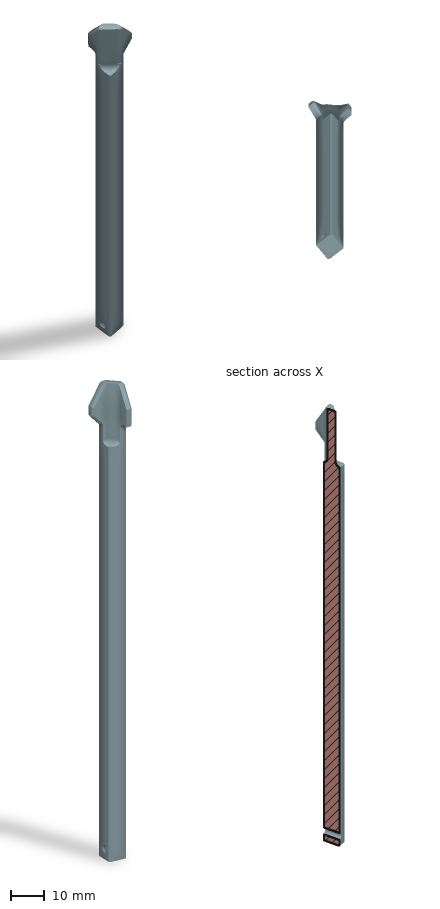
import cadquery as cq
import math

length = 152.4
bar = 5.8
bar_bevel = 0.5
hole_diameter = 2.3
hole_x = 2.7
hole_z = 3.4

sheet = 2.1
bend_inner_radius = 2.3
bend_outer_radius = 2.5
outer_bend_x = 1.4
head_base = 132.9
base_fillet = 1.8

crest = 0.6
tip_bevel = 0.6
hook_reach = 3.5
hook_top = 145.5
hook_bottom = 139.9
hook_radius = 1.7
fin_reach = 3.7
fin_top = 145.2
fin_bottom = 142.2
fin_root = 138.4

hook_tip = -hook_reach
fin_tip = bar + fin_reach
head_height = length - head_base
inner_bend_x = outer_bend_x - sheet * math.tan(math.pi / 8)


def make_bevelled_bar(height):
    """Square bar with two opposite bevelled long edges."""
    body = cq.Workplane("XY").box(bar, bar, height, centered=False)
    return body.edges("|Z and ((>X and <Y) or (<X and >Y))").chamfer(bar_bevel)


def make_bar():
    """Bevelled bar with its cross hole."""
    hole = (
        cq.Workplane("XZ")
        .center(hole_x, hole_z)
        .circle(hole_diameter / 2)
        .extrude(-bar)
    )
    return make_bevelled_bar(head_base).cut(hole)


def make_bent_sheet():
    """Two fins at right angles joined by a diagonal web, with rounded bends."""
    outer_bends = [(outer_bend_x, 0), (bar, bar - outer_bend_x)]
    inner_bends = [(bar - sheet, bar - inner_bend_x), (inner_bend_x, sheet)]
    section = [
        (hook_tip, 0),
        *outer_bends,
        (bar, fin_tip),
        (bar - sheet, fin_tip),
        *inner_bends,
        (hook_tip, sheet),
    ]
    body = cq.Workplane("XY", origin=(0, 0, head_base)).polyline(section).close().extrude(head_height)
    for bends, radius in ((outer_bends, bend_outer_radius), (inner_bends, bend_inner_radius)):
        for x, y in bends:
            near_bend = cq.selectors.NearestToPointSelector((x, y, head_base + head_height / 2))
            body = body.edges("|Z").edges(near_bend).fillet(radius)
    return body


def make_hook_outline():
    """Side shape of the hooked X fin, as a block across the whole depth."""
    arc_offset = hook_radius * math.sqrt(0.5)
    return (
        cq.Workplane("XZ")
        .moveTo(0, head_base)
        .lineTo(0, hook_bottom - hook_radius)
        .threePointArc(
            (arc_offset - hook_radius, hook_bottom - hook_radius + arc_offset),
            (-hook_radius, hook_bottom),
        )
        .lineTo(hook_tip, hook_bottom)
        .lineTo(hook_tip, hook_top)
        .lineTo(crest, length)
        .lineTo(bar - tip_bevel, length)
        .lineTo(bar, length - tip_bevel)
        .lineTo(bar, head_base)
        .close()
        .extrude(-fin_tip)
    )


def make_fin_outline():
    """Side shape of the triangular Y fin, as a block across the whole width."""
    outline = [
        (0, head_base),
        (0, length - tip_bevel),
        (tip_bevel, length),
        (bar - crest, length),
        (fin_tip, fin_top),
        (fin_tip, fin_bottom),
        (bar, fin_root),
        (bar, head_base),
    ]
    return cq.Workplane("YZ", origin=(hook_tip, 0, 0)).polyline(outline).close().extrude(bar + hook_reach)


def make_head():
    """Bent sheet trimmed to both fin shapes, with bevelled fin rims."""
    body = make_bent_sheet().intersect(make_hook_outline()).intersect(make_fin_outline())
    hook_slope = ((hook_tip + crest) / 2, 0, (hook_top + length) / 2)
    hook_end = (hook_tip, 0, (hook_top + hook_bottom) / 2)
    fin_x = bar - sheet
    fin_end = (fin_x, fin_tip, (fin_top + fin_bottom) / 2)
    fin_lower_slope = (fin_x, (bar + fin_tip) / 2, (fin_root + fin_bottom) / 2)
    fin_slope = (fin_x, (bar + fin_tip) / 2, (fin_top + length) / 2)
    for rim in ((hook_slope, hook_end), (fin_slope, fin_end, fin_lower_slope)):
        picked = [body.edges(cq.selectors.NearestToPointSelector(point)).val() for point in rim]
        body = body.newObject(picked).chamfer(tip_bevel)
    return body


def make_flare():
    """Foot of the web, widening with a hollow curve on each side into the square bar."""
    web_front = outer_bend_x * math.sqrt(0.5)
    web_back = web_front - sheet
    arc_offset = base_fillet * (1 - math.sqrt(0.5))
    top = head_base + base_fillet
    diagonal = cq.Plane(origin=(0, 0, 0), xDir=(1, -1, 0), normal=(-1, -1, 0))
    foot = (
        cq.Workplane(diagonal)
        .moveTo(web_back - base_fillet, head_base)
        .threePointArc((web_back - arc_offset, head_base + arc_offset), (web_back, top))
        .lineTo(web_front, top)
        .threePointArc((web_front + arc_offset, head_base + arc_offset), (web_front + base_fillet, head_base))
        .close()
        .extrude(-bar * math.sqrt(2))
    )
    return foot.intersect(make_bevelled_bar(length))


result = make_bar().union(make_head()).union(make_flare())